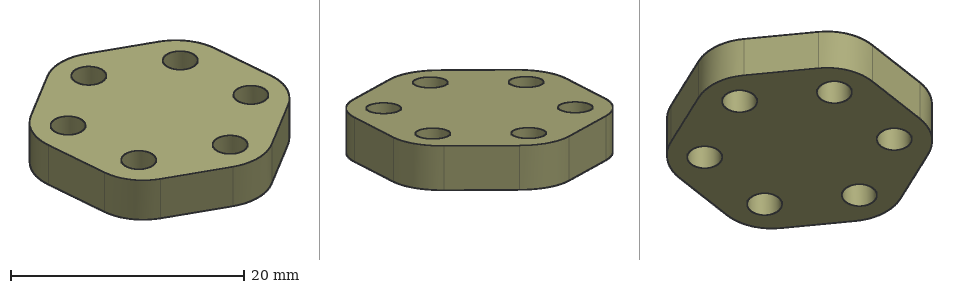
import cadquery as cq
import math

length = 22.9
width = 21.15
thickness = 4.0

hole_count = 6
hole_diameter = 3.0
hole_circle_radius = 8.22

hexagon_diameter = width / math.cos(math.pi / 6)
corner_cut = (hexagon_diameter - length) / 2
corner_radius = corner_cut / (1 / math.cos(math.pi / 6) - 1)

plate = (
    cq.Workplane("XY")
    .polygon(6, hexagon_diameter)
    .extrude(thickness)
    .edges("|Z")
    .fillet(corner_radius)
)

holes = (
    cq.Workplane("XY")
    .polarArray(hole_circle_radius, 0, 360, hole_count)
    .circle(hole_diameter / 2)
    .extrude(thickness)
)

result = plate.cut(holes)